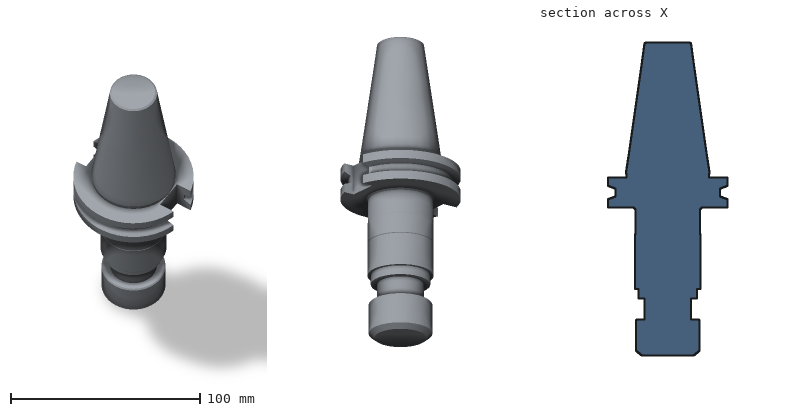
import cadquery as cq

total_height = 165.5

nut_radius = 33.8 / 2
nut_top = 19.2
nut_bottom_bevel_width = 3.1
nut_bottom_bevel_height = 2.5
nut_top_bevel = 0.7

neck_radius = 24.8 / 2
neck_top = 30.1
collar_radius = 31.5 / 2
collar_top = 35.0
body_radius = 35.0 / 2
body_top = 64.0
upper_shank_radius = 34.5 / 2
joint_height = 53.0
joint_half_width = 0.25
joint_depth = 0.25
body_bevel = 0.3
flange_root_bevel = 0.8

flange_radius = 63.5 / 2
flange_bottom = 78.0
flange_top = 94.1
groove_radius = 55.6 / 2
groove_middle = (flange_bottom + flange_top) / 2
groove_floor_half_width = 2.0
groove_mouth_half_width = 3.5

slot_width = 16.4
left_slot_floor = 24.7
right_slot_floor = 22.2

taper_bottom = 96.3
taper_large_radius = 44.5 / 2
taper_small_radius = 24.8 / 2
relief_radius = 44.0 / 2
relief_bevel_height = 0.5
tip_bevel_width = 1.0
tip_bevel_height = 0.7


def revolved_holder():
    """Revolve the complete half-profile, given as (radius, height), about Z."""
    nut = [
        (0, 0),
        (nut_radius - nut_bottom_bevel_width, 0),
        (nut_radius, nut_bottom_bevel_height),
        (nut_radius, nut_top - nut_top_bevel),
        (nut_radius - nut_top_bevel, nut_top),
    ]
    stepped_shank = [
        (neck_radius, nut_top),
        (neck_radius, neck_top),
        (collar_radius, neck_top),
        (collar_radius, collar_top),
        (body_radius, collar_top),
        (body_radius, joint_height - joint_half_width),
        (body_radius - joint_depth, joint_height),
        (body_radius, joint_height + joint_half_width),
        (body_radius, body_top - body_bevel),
        (upper_shank_radius, body_top),
        (upper_shank_radius, flange_bottom - flange_root_bevel),
        (upper_shank_radius + flange_root_bevel, flange_bottom),
    ]
    flange = [
        (flange_radius, flange_bottom),
        (flange_radius, groove_middle - groove_mouth_half_width),
        (groove_radius, groove_middle - groove_floor_half_width),
        (groove_radius, groove_middle + groove_floor_half_width),
        (flange_radius, groove_middle + groove_mouth_half_width),
        (flange_radius, flange_top),
    ]
    taper = [
        (relief_radius, flange_top),
        (relief_radius, taper_bottom - relief_bevel_height),
        (taper_large_radius, taper_bottom),
        (taper_small_radius, total_height - tip_bevel_height),
        (taper_small_radius - tip_bevel_width, total_height),
        (0, total_height),
    ]
    profile = cq.Workplane("XZ").polyline(nut + stepped_shank + flange + taper).close()
    return profile.revolve(360, (0, 0, 0), (0, 1, 0))


def drive_slot(side, floor_distance):
    """Cutter for one drive slot; side is -1 for -X and +1 for +X."""
    length = flange_radius - floor_distance
    centre_x = side * (flange_radius + floor_distance) / 2
    cutter = cq.Workplane("XY").box(length, slot_width, flange_top - flange_bottom)
    return cutter.translate((centre_x, 0, groove_middle))


result = revolved_holder()
result = result.cut(drive_slot(-1, left_slot_floor))
result = result.cut(drive_slot(1, right_slot_floor))